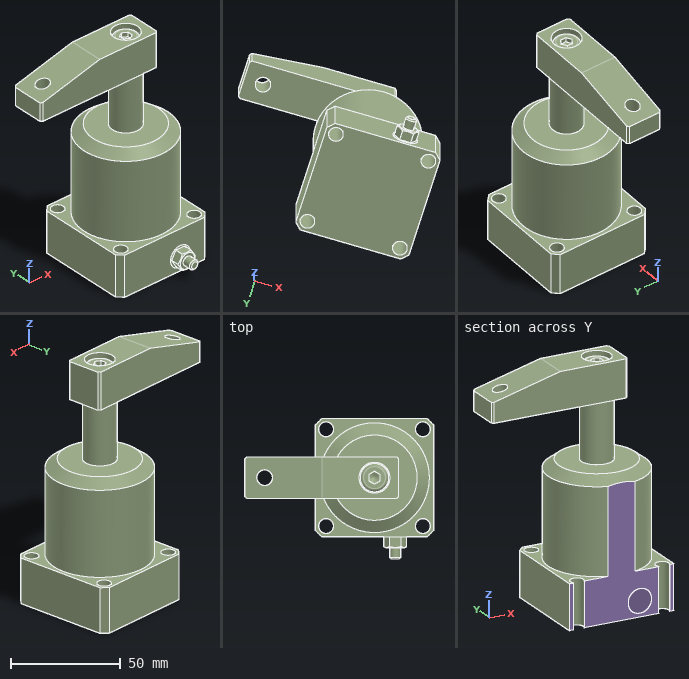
import cadquery as cq
import math


BASE_SIDE = 54.0
BASE_HEIGHT = 23.0
BASE_CORNER_CHAMFER = 3.0
MOUNT_HOLE_DIAMETER = 6.7
MOUNT_HOLE_OFFSET = 22.0
BARREL_DIAMETER = 50.0
HOUSING_HEIGHT = 71.0
BARREL_CHAMFER_RADIAL = 5.6
BARREL_CHAMFER_HEIGHT = 4.2

OVERALL_HEIGHT = 121.0
ARM_THICKNESS = 19.1
ARM_WIDTH = 19.0
ARM_REACH = 59.0
ARM_TAIL = 11.0
ARM_BREAK = 24.0
NOSE_HEIGHT = 10.0
ARM_CORNER_CHAMFER = 1.0
TIP_HOLE_DIAMETER = 7.0
TIP_HOLE_REACH = 50.0
COUNTERBORE_DIAMETER = 14.0

ROD_DIAMETER = 16.0

HEAD_DIAMETER = 13.0
HEAD_HEIGHT = 5.0
HEAD_RECESS = 2.0
HEAD_FILLET = 1.5
SOCKET_ACROSS_FLATS = 5.1
SOCKET_DEPTH = 2.3
SOCKET_POINT_DEPTH = 1.5
SHANK_DIAMETER = 8.0
SHANK_GRIP = 12.1

FITTING_X = 9.4
FITTING_Z = 8.0
PLUG_DIAMETER = 11.7
PLUG_DEPTH = 6.0
FITTING_HEX_ACROSS_FLATS = 9.1
FITTING_HEX_LENGTH = 5.0
FITTING_HEX_BEVEL = 0.6
FITTING_HEX_FACE_DIAMETER = 8.5
STUD_DIAMETER = 5.1
FITTING_LENGTH = 10.0
STUD_CHAMFER = 0.7

ARM_BOTTOM = OVERALL_HEIGHT - ARM_THICKNESS
COUNTERBORE_FLOOR = OVERALL_HEIGHT - HEAD_RECESS - HEAD_HEIGHT
SHANK_BOTTOM = ARM_BOTTOM - SHANK_GRIP
SIDE_FACE_Y = -BASE_SIDE / 2


def across_corners(across_flats):
    return across_flats / math.cos(math.pi / 6)


def cylinder(diameter, bottom, top):
    return cq.Workplane("XY").workplane(offset=bottom).circle(diameter / 2).extrude(top - bottom)


def fitting_plane(depth=0.0):
    """Plane facing -Y on the fitting axis, the given depth inside the side face of the base."""
    return cq.Workplane("XZ", origin=(FITTING_X, SIDE_FACE_Y + depth, FITTING_Z))


def make_housing():
    base = (
        cq.Workplane("XY")
        .rect(BASE_SIDE, BASE_SIDE)
        .extrude(BASE_HEIGHT)
        .edges("|Z")
        .chamfer(BASE_CORNER_CHAMFER)
        .faces(">Z")
        .workplane()
        .rect(2 * MOUNT_HOLE_OFFSET, 2 * MOUNT_HOLE_OFFSET, forConstruction=True)
        .vertices()
        .hole(MOUNT_HOLE_DIAMETER)
    )
    barrel = (
        cylinder(BARREL_DIAMETER, BASE_HEIGHT, HOUSING_HEIGHT)
        .faces(">Z")
        .chamfer(BARREL_CHAMFER_HEIGHT, BARREL_CHAMFER_RADIAL)
    )
    port = fitting_plane(PLUG_DEPTH).circle(PLUG_DIAMETER / 2).extrude(PLUG_DEPTH)
    return base.union(barrel).cut(port)


def make_rod():
    rod = cylinder(ROD_DIAMETER, HOUSING_HEIGHT, ARM_BOTTOM)
    return rod.cut(cylinder(SHANK_DIAMETER, SHANK_BOTTOM, ARM_BOTTOM))


def make_arm():
    side_profile = [
        (-ARM_REACH, ARM_BOTTOM),
        (ARM_TAIL, ARM_BOTTOM),
        (ARM_TAIL, OVERALL_HEIGHT),
        (-ARM_BREAK, OVERALL_HEIGHT),
        (-ARM_REACH, ARM_BOTTOM + NOSE_HEIGHT),
    ]
    arm = (
        cq.Workplane("XZ")
        .polyline(side_profile)
        .close()
        .extrude(ARM_WIDTH / 2, both=True)
        .edges("|Z")
        .chamfer(ARM_CORNER_CHAMFER)
    )
    tip_hole = cylinder(TIP_HOLE_DIAMETER, ARM_BOTTOM, OVERALL_HEIGHT).translate((-TIP_HOLE_REACH, 0, 0))
    shank_hole = cylinder(SHANK_DIAMETER, ARM_BOTTOM, OVERALL_HEIGHT)
    counterbore = cylinder(COUNTERBORE_DIAMETER, COUNTERBORE_FLOOR, OVERALL_HEIGHT)
    return arm.cut(tip_hole).cut(shank_hole).cut(counterbore)


def make_screw():
    head_top = COUNTERBORE_FLOOR + HEAD_HEIGHT
    head = (
        cylinder(HEAD_DIAMETER, COUNTERBORE_FLOOR, head_top)
        .faces(">Z")
        .edges()
        .fillet(HEAD_FILLET)
    )
    shank = cylinder(SHANK_DIAMETER, SHANK_BOTTOM, COUNTERBORE_FLOOR)

    corner_diameter = across_corners(SOCKET_ACROSS_FLATS)
    socket_depth = SOCKET_DEPTH + SOCKET_POINT_DEPTH
    hexagon = (
        cq.Workplane("XY")
        .workplane(offset=head_top - socket_depth)
        .transformed(rotate=(0, 0, 90))
        .polygon(6, corner_diameter)
        .extrude(socket_depth)
    )
    pointed_bore = (
        cq.Workplane("XZ")
        .moveTo(0, head_top - socket_depth)
        .lineTo(corner_diameter / 2, head_top - SOCKET_DEPTH)
        .lineTo(corner_diameter / 2, head_top)
        .lineTo(0, head_top)
        .close()
        .revolve(360, (0, 0), (0, 1))
    )
    return head.union(shank).cut(hexagon.intersect(pointed_bore))


def make_fitting():
    plug = fitting_plane(PLUG_DEPTH).circle(PLUG_DIAMETER / 2).extrude(PLUG_DEPTH)

    corner_diameter = across_corners(FITTING_HEX_ACROSS_FLATS)
    bevel_cone = (
        fitting_plane()
        .circle(corner_diameter / 2)
        .extrude(FITTING_HEX_LENGTH)
        .faces("<Y")
        .chamfer(FITTING_HEX_BEVEL, (corner_diameter - FITTING_HEX_FACE_DIAMETER) / 2)
    )
    hexagon = fitting_plane().polygon(6, corner_diameter).extrude(FITTING_HEX_LENGTH).intersect(bevel_cone)

    stud = (
        fitting_plane()
        .circle(STUD_DIAMETER / 2)
        .extrude(FITTING_LENGTH)
        .faces("<Y")
        .chamfer(STUD_CHAMFER)
    )
    return plug.union(hexagon).union(stud)


housing = make_housing()
rod = make_rod()
arm = make_arm()
screw = make_screw()
fitting = make_fitting()

result = cq.Compound.makeCompound(
    [housing.val(), rod.val(), arm.val(), screw.val(), fitting.val()]
)